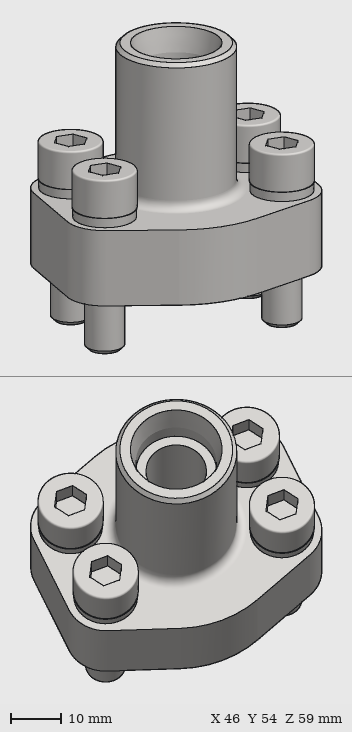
import cadquery as cq
import math

OVERALL_HEIGHT = 59.0

FLANGE_LENGTH = 54.0
FLANGE_THICKNESS = 16.0
SIDE_RADIUS = 23.0

BOLT_SPACING_X = 17.5
BOLT_SPACING_Y = 38.1
BOLT_X = BOLT_SPACING_X / 2
BOLT_Y = BOLT_SPACING_Y / 2

SHANK_DIAMETER = 8.0
SHANK_PROJECTION = 12.0
SHANK_CHAMFER = 0.9
WASHER_DIAMETER = 12.7
WASHER_THICKNESS = 2.0
HEAD_DIAMETER = 13.0
HEAD_HEIGHT = 8.0
HEAD_EDGE_RADIUS = 0.4
SOCKET_ACROSS_FLATS = 6.0
SOCKET_DEPTH = 4.0

STUB_DIAMETER = 24.0
STUB_TOP_Z = OVERALL_HEIGHT - SHANK_PROJECTION
STUB_CHAMFER = 0.8
ROOT_FILLET = 2.0
BORE_DIAMETER = 12.0
SEAT_DIAMETER = 16.0
SEAT_DEPTH = 8.5
MOUTH_DIAMETER = 18.2
MOUTH_HALF_ANGLE = 12
MOUTH_DEPTH = (MOUTH_DIAMETER - SEAT_DIAMETER) / 2 / math.tan(math.radians(MOUTH_HALF_ANGLE))


def make_flange():
    """Plate bounded by a central disc, four corner discs around the bolts and their common tangents."""
    corner_radius = FLANGE_LENGTH / 2 - BOLT_Y
    centre_distance = math.hypot(BOLT_X, BOLT_Y)
    normal_angle = math.atan2(BOLT_Y, BOLT_X) - math.acos((SIDE_RADIUS - corner_radius) / centre_distance)
    side_x = SIDE_RADIUS * math.cos(normal_angle)
    side_y = SIDE_RADIUS * math.sin(normal_angle)
    corner_x = BOLT_X + corner_radius * math.cos(normal_angle)
    corner_y = BOLT_Y + corner_radius * math.sin(normal_angle)
    middle_angle = (normal_angle + math.pi / 2) / 2
    middle_x = BOLT_X + corner_radius * math.cos(middle_angle)
    middle_y = BOLT_Y + corner_radius * math.sin(middle_angle)
    end_y = FLANGE_LENGTH / 2
    return (
        cq.Workplane("XY")
        .moveTo(side_x, -side_y)
        .threePointArc((SIDE_RADIUS, 0), (side_x, side_y))
        .lineTo(corner_x, corner_y)
        .threePointArc((middle_x, middle_y), (BOLT_X, end_y))
        .lineTo(-BOLT_X, end_y)
        .threePointArc((-middle_x, middle_y), (-corner_x, corner_y))
        .lineTo(-side_x, side_y)
        .threePointArc((-SIDE_RADIUS, 0), (-side_x, -side_y))
        .lineTo(-corner_x, -corner_y)
        .threePointArc((-middle_x, -middle_y), (-BOLT_X, -end_y))
        .lineTo(BOLT_X, -end_y)
        .threePointArc((middle_x, -middle_y), (corner_x, -corner_y))
        .close()
        .extrude(FLANGE_THICKNESS)
    )


def make_stub():
    """Round pipe stub with a concave root fillet and a chamfered rim, revolved about Z."""
    radius = STUB_DIAMETER / 2
    root_z = FLANGE_THICKNESS
    fillet_offset = ROOT_FILLET * (1 - math.sqrt(0.5))
    return (
        cq.Workplane("XZ")
        .moveTo(0, 0)
        .lineTo(radius + ROOT_FILLET, 0)
        .lineTo(radius + ROOT_FILLET, root_z)
        .threePointArc((radius + fillet_offset, root_z + fillet_offset), (radius, root_z + ROOT_FILLET))
        .lineTo(radius, STUB_TOP_Z - STUB_CHAMFER)
        .lineTo(radius - STUB_CHAMFER, STUB_TOP_Z)
        .lineTo(0, STUB_TOP_Z)
        .close()
        .revolve()
    )


def make_bore():
    """Through bore with a tube seat and a conical mouth at the top, revolved about Z."""
    seat_z = STUB_TOP_Z - SEAT_DEPTH
    return (
        cq.Workplane("XZ")
        .moveTo(0, 0)
        .lineTo(BORE_DIAMETER / 2, 0)
        .lineTo(BORE_DIAMETER / 2, seat_z)
        .lineTo(SEAT_DIAMETER / 2, seat_z)
        .lineTo(SEAT_DIAMETER / 2, STUB_TOP_Z - MOUTH_DEPTH)
        .lineTo(MOUTH_DIAMETER / 2, STUB_TOP_Z)
        .lineTo(0, STUB_TOP_Z)
        .close()
        .revolve()
    )


def make_bolt():
    """Socket head bolt on the Z axis, with the washer under its head resting on the flange."""
    washer_top = FLANGE_THICKNESS + WASHER_THICKNESS
    shank = (
        cq.Workplane("XY", origin=(0, 0, -SHANK_PROJECTION))
        .circle(SHANK_DIAMETER / 2)
        .extrude(SHANK_PROJECTION + washer_top)
        .faces("<Z")
        .chamfer(SHANK_CHAMFER)
    )
    washer = (
        cq.Workplane("XY", origin=(0, 0, FLANGE_THICKNESS))
        .circle(WASHER_DIAMETER / 2)
        .extrude(WASHER_THICKNESS)
    )
    head = (
        cq.Workplane("XY", origin=(0, 0, washer_top))
        .circle(HEAD_DIAMETER / 2)
        .extrude(HEAD_HEIGHT)
        .faces(">Z")
        .fillet(HEAD_EDGE_RADIUS)
    )
    socket = (
        cq.Workplane("XY", origin=(0, 0, washer_top + HEAD_HEIGHT))
        .polygon(6, SOCKET_ACROSS_FLATS, circumscribed=True)
        .extrude(-SOCKET_DEPTH)
    )
    return shank.union(washer).union(head).cut(socket)


result = make_flange().union(make_stub()).cut(make_bore())

bolt = make_bolt()
for x in (-BOLT_X, BOLT_X):
    for y in (-BOLT_Y, BOLT_Y):
        result = result.union(bolt.translate((x, y, 0)))